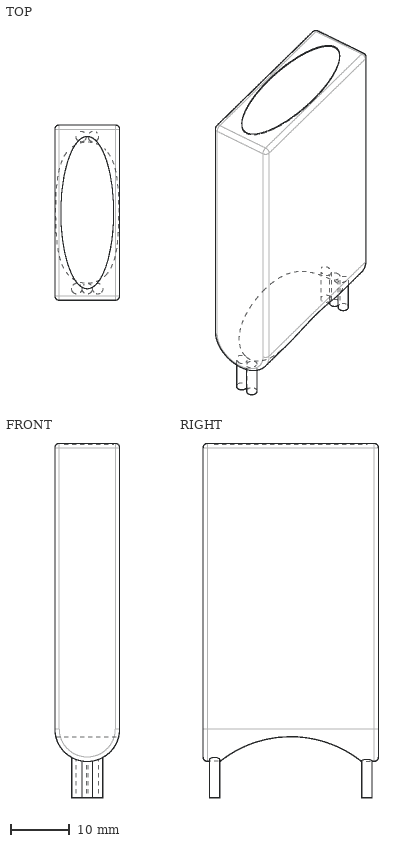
import cadquery as cq

body_thickness = 11.05
body_width = 29.84
total_height = 60.29
edge_radius = 0.762
pin_length = 6.2
body_height = total_height - pin_length
nose_radius = body_thickness / 2

arch_radius = 19.25
arch_rise = 4.2

recess_length_x = 9.0
recess_length_y = 25.9
recess_depth = 0.2

pin_diameter = 1.78
pin_row_y = 12.93
pin_gap = 0.005
triple_pin_pitch = pin_diameter + pin_gap
double_pin_pitch = 2.08
pin_root_z = nose_radius


def make_body():
    """Block with a half-round lower edge and rounded outer edges."""
    half = body_thickness / 2
    block = (
        cq.Workplane("XZ", origin=(0, body_width / 2, 0))
        .moveTo(-half, body_height)
        .lineTo(-half, nose_radius)
        .threePointArc((0, 0), (half, nose_radius))
        .lineTo(half, body_height)
        .close()
        .extrude(body_width)
    )
    return block.faces("<Y or >Y or >Z").edges().fillet(edge_radius)


def make_arch_cutter():
    """Cylinder along X that hollows the underside."""
    return (
        cq.Workplane("YZ", origin=(-body_thickness, 0, arch_rise - arch_radius))
        .circle(arch_radius)
        .extrude(2 * body_thickness)
    )


def make_recess_cutter():
    """Elliptical disc that sinks the middle of the top face."""
    return (
        cq.Workplane("XY", origin=(0, 0, body_height - recess_depth))
        .ellipse(recess_length_x / 2, recess_length_y / 2)
        .extrude(2 * recess_depth)
    )


def make_pin_row(count, pitch, row_y):
    """Row of pins along X, centred on the body."""
    first_x = -pitch * (count - 1) / 2
    centres = [(first_x + i * pitch, row_y) for i in range(count)]
    return (
        cq.Workplane("XY", origin=(0, 0, -pin_length))
        .pushPoints(centres)
        .circle(pin_diameter / 2)
        .extrude(pin_length + pin_root_z)
    )


result = (
    make_body()
    .cut(make_arch_cutter())
    .cut(make_recess_cutter())
    .union(make_pin_row(3, triple_pin_pitch, -pin_row_y))
    .union(make_pin_row(2, double_pin_pitch, pin_row_y))
)